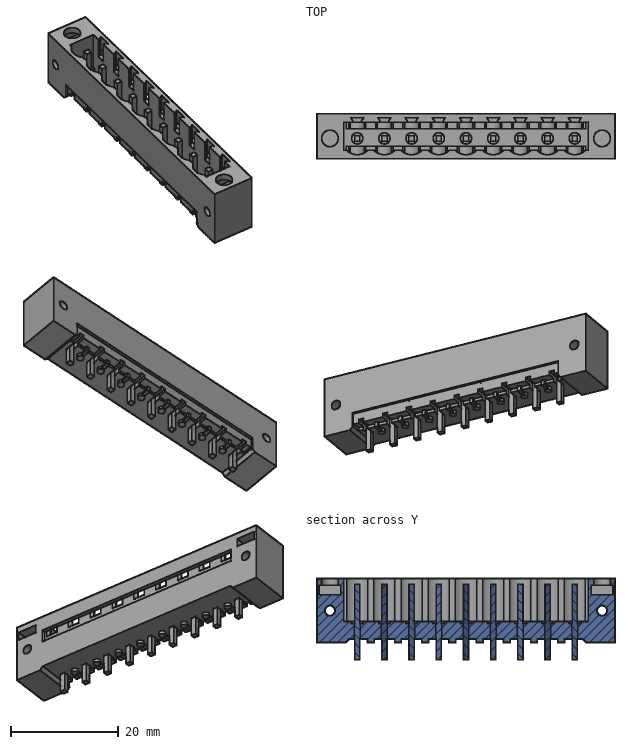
import cadquery as cq
import math


pin_count = 9
pitch = 5.08
pin_width = 1.0
pin_tail = 3.2
pin_tip_drop = 1.03
pin_xs = [(i - (pin_count - 1) / 2) * pitch for i in range(pin_count)]
gap_xs = [x + pitch / 2 for x in pin_xs[:-1]]

length = 55.72
depth = 8.43
height = 12.0
front_y = -3.8
back_y = front_y + depth

cavity_end_wall = 5.07
cavity_length = length - 2 * cavity_end_wall
cavity_front = -2.2
cavity_back = 3.0
floor_z = 4.0
scallop_radius = 2.75
scallop_center_y = -0.29

trough_end = 2.0
trough_length = (pin_count - 1) * pitch + 2 * trough_end
trough_floor_z = 1.8
bar_front = -1.47
bar_back = 1.83
ridge_half = 1.62
ridge_flank_height = 0.9
crown_half = 1.3
crown_radius = 1.7

seat_diameter = 2.1
seat_depth = 0.4

slot_outer_half = 1.2
slot_mouth_half = 0.79
slot_neck_y = 3.25
slot_back = 3.85
slot_depth = 4.24
back_recess_drop = 3.1
back_recess_height = 2.6

flange_inset = 2.45
flange_x = length / 2 - flange_inset
screw_diameter = 3.1
nut_width = 4.0
nut_lip = 1.3
nut_height = 1.7
cross_hole_diameter = 1.85
cross_hole_z = height / 2

end_block_length = 5.9
recess_length = length - 2 * end_block_length
recess_depth = 0.5
recess_top = 3.5
skirt_bottom = 1.31
skirt_thickness = 1.7
base_bottom = 0.66
opening_inset = 0.15
opening_length = recess_length - 2 * opening_inset
corner_run = 0.65
notch_top = 2.05

foot_diameter = 1.3
rib_width = 0.67
rib_lead = 0.5
rib_bottom = 0.33

base_front = front_y + recess_depth + skirt_thickness


def block(x_size, y_range, z_range, x=0.0):
    """Box centred on x, spanning the given Y and Z ranges."""
    y0, y1 = y_range
    z0, z1 = z_range
    return (
        cq.Workplane("XY")
        .box(x_size, y1 - y0, z1 - z0, centered=(True, False, False))
        .translate((x, y0, z0))
    )


def upright(diameter, z_range, x, y=0.0):
    """Vertical cylinder at (x, y)."""
    z0, z1 = z_range
    return cq.Workplane("XY", origin=(x, y, z0)).circle(diameter / 2).extrude(z1 - z0)


def along_y(radius, y_range, x, z):
    """Cylinder lying along Y."""
    y0, y1 = y_range
    return cq.Workplane("XZ", origin=(x, y0, z)).circle(radius).extrude(y0 - y1)


def cut_underside(body):
    """Open the bottom between the end blocks and set back the front skirt."""
    half = opening_length / 2
    opening = (
        cq.Workplane("XZ", origin=(0, front_y, 0))
        .moveTo(-half - corner_run, 0)
        .lineTo(half + corner_run, 0)
        .lineTo(half, base_bottom)
        .lineTo(-half, base_bottom)
        .close()
        .extrude(-depth)
    )
    skirt_gap = block(opening_length, (front_y, base_front), (base_bottom, skirt_bottom))
    recess = block(
        recess_length, (front_y, front_y + recess_depth), (base_bottom, recess_top)
    )
    return body.cut(opening).cut(skirt_gap).cut(recess)


def trough_space():
    """Front and back troughs, the front one bulging into the scallops."""
    span = (trough_floor_z, height)
    front = block(trough_length, (cavity_front, bar_front), span)
    for x in pin_xs:
        scallop = upright(2 * scallop_radius, span, x, scallop_center_y)
        limit = block(pitch, (front_y, cavity_front), span, x)
        front = front.union(scallop.intersect(limit))
    back = block(trough_length, (bar_back, cavity_back), span)
    return front.union(back)


def ridge(x):
    """Ridge along Y with steep flat flanks and a round crown."""
    crown_z = trough_floor_z + ridge_flank_height
    crown_rise = crown_radius - math.sqrt(crown_radius**2 - crown_half**2)
    return (
        cq.Workplane("XZ", origin=(x, front_y, 0))
        .moveTo(-ridge_half, trough_floor_z)
        .lineTo(-crown_half, crown_z)
        .threePointArc((0, crown_z + crown_rise), (crown_half, crown_z))
        .lineTo(ridge_half, trough_floor_z)
        .close()
        .extrude(front_y - cavity_back)
    )


def cut_cavity(body):
    """Hollow out the cavity and troughs, leaving a ridge over each pin notch."""
    troughs = trough_space()
    cavity = block(cavity_length, (cavity_front, cavity_back), (floor_z, height))
    body = body.cut(cavity).cut(troughs)
    for x in pin_xs:
        body = body.union(ridge(x).intersect(troughs))
    return body


def coding_slot(x):
    """Dovetail slot sunk from the top into the inside of the back wall."""
    return (
        cq.Workplane("XY", origin=(x, 0, height))
        .moveTo(-slot_mouth_half, cavity_back)
        .lineTo(slot_mouth_half, cavity_back)
        .lineTo(slot_mouth_half, slot_neck_y)
        .lineTo(slot_outer_half, slot_back)
        .lineTo(-slot_outer_half, slot_back)
        .lineTo(-slot_mouth_half, slot_neck_y)
        .close()
        .extrude(-slot_depth)
    )


def back_recess():
    """Long recess in the back face, as deep as the backs of the coding slots."""
    top = height - back_recess_drop
    return block(recess_length, (slot_back, back_y), (top - back_recess_height, top))


def flange_cut(x):
    """Screw hole, nut pocket entered from the back, and a cross hole along Y."""
    nut_top = height - nut_lip
    nut_bottom = nut_top - nut_height
    screw = upright(screw_diameter, (nut_bottom, height), x)
    nut = block(nut_width, (-nut_width / 2, back_y), (nut_bottom, nut_top), x)
    cross = along_y(cross_hole_diameter / 2, (front_y, back_y), x, cross_hole_z)
    return screw.union(nut).union(cross)


def pin_cut(x):
    """Square pin hole, its round seat, and the notch in front of the pin."""
    half = pin_width / 2
    hole = block(pin_width, (-half, half), (0, height), x)
    seat = upright(seat_diameter, (floor_z - seat_depth, floor_z), x)
    notch = block(pin_width, (front_y, half), (0, notch_top), x)
    return hole.union(seat).union(notch)


def foot(x):
    """Round standoff foot with a rib running forward from it."""
    post = upright(foot_diameter, (0, base_bottom), x)
    rib = block(rib_width, (base_front - rib_lead, 0), (rib_bottom, skirt_bottom), x)
    return post.union(rib)


def make_housing():
    body = block(length, (front_y, back_y), (0, height))
    body = cut_underside(body)
    body = cut_cavity(body).cut(back_recess())
    for x in pin_xs:
        body = body.cut(coding_slot(x)).cut(pin_cut(x))
    for x in (-flange_x, flange_x):
        body = body.cut(flange_cut(x))
    for x in gap_xs:
        body = body.union(foot(x))
    return body


def make_pin(x):
    half = pin_width / 2
    return block(pin_width, (-half, half), (-pin_tail, height - pin_tip_drop), x)


housing = make_housing()
pins = [make_pin(x) for x in pin_xs]

result = cq.Compound.makeCompound([housing.val(), *[pin.val() for pin in pins]])